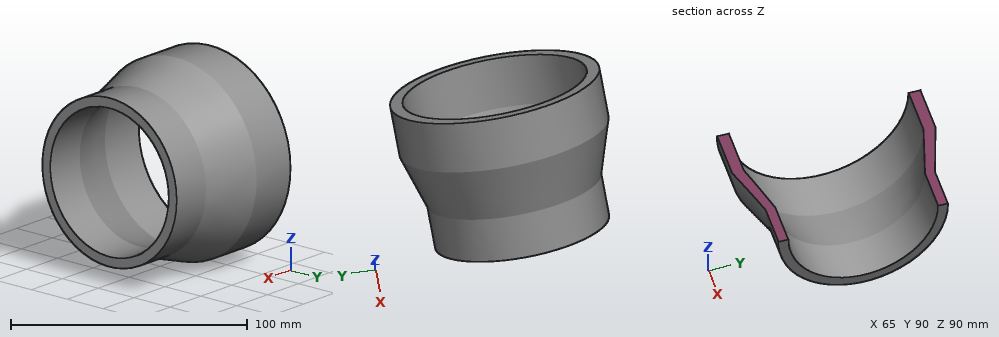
import cadquery as cq

wide_outer_diameter = 90.0
wide_inner_diameter = 79.2
narrow_outer_diameter = 75.0
narrow_inner_diameter = 66.0

total_length = 65.0
wide_length = 22.0
narrow_length = 19.0

taper_start = wide_length
taper_end = total_length - narrow_length


def stepped_cone(wide_diameter, narrow_diameter):
    """Solid of revolution: wide cylinder, taper, then narrow cylinder."""
    wide_radius = wide_diameter / 2
    narrow_radius = narrow_diameter / 2
    return (
        cq.Workplane("XY")
        .moveTo(0, 0)
        .lineTo(0, wide_radius)
        .lineTo(taper_start, wide_radius)
        .lineTo(taper_end, narrow_radius)
        .lineTo(total_length, narrow_radius)
        .lineTo(total_length, 0)
        .close()
        .revolve(360, (0, 0, 0), (1, 0, 0))
    )


body = stepped_cone(wide_outer_diameter, narrow_outer_diameter)
bore = stepped_cone(wide_inner_diameter, narrow_inner_diameter)

result = body.cut(bore)